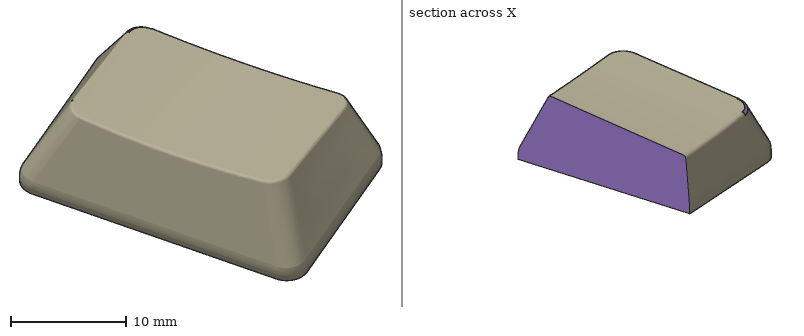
import cadquery as cq
import math

rim_length = 27.69
rim_width = 18.16
rim_height = 0.58
rim_corner_radius = 2.0

shoulder_height = 1.32
shoulder_corner_radius = 1.85

crown_length = 20.56
crown_front_y = -5.32
crown_back_y = 8.6
crown_middle_z = 7.3
crown_slope = math.radians(6.7)
crown_corner_radius = 1.75

dish_radius = 110.0
dish_drop = 0.93
dish_edge_radius = 0.32

half_length = rim_length / 2
half_width = rim_width / 2
shoulder_rise = shoulder_height - rim_height
wall_root_z = rim_height + shoulder_rise / 2

crown_width = crown_back_y - crown_front_y
crown_middle_y = (crown_front_y + crown_back_y) / 2
crown_front_z = crown_middle_z + crown_width / 2 * math.tan(crown_slope)
crown_back_z = crown_middle_z - crown_width / 2 * math.tan(crown_slope)

side_lean = (half_length - crown_length / 2) / (crown_middle_z - wall_root_z)
front_lean = (half_width + crown_front_y) / (crown_front_z - wall_root_z)
back_lean = (half_width - crown_back_y) / (crown_back_z - wall_root_z)


def sloping_plane(drop):
    """Plane parallel to the crown, lowered by drop at its middle."""
    normal = (0, math.sin(crown_slope), math.cos(crown_slope))
    return cq.Plane(origin=(0, crown_middle_y, crown_middle_z - drop), xDir=(1, 0, 0), normal=normal)


def rounded_outline(plane, size_x, size_y, radius):
    """Wire of a rounded rectangle centred on the origin of the plane."""
    half_x = size_x / 2
    half_y = size_y / 2
    straight_x = half_x - radius
    straight_y = half_y - radius
    arc_inset = radius * (1 - math.sqrt(0.5))
    arc_x = half_x - arc_inset
    arc_y = half_y - arc_inset
    return (
        cq.Workplane(plane)
        .moveTo(-straight_x, -half_y)
        .lineTo(straight_x, -half_y)
        .threePointArc((arc_x, -arc_y), (half_x, -straight_y))
        .lineTo(half_x, straight_y)
        .threePointArc((arc_x, arc_y), (straight_x, half_y))
        .lineTo(-straight_x, half_y)
        .threePointArc((-arc_x, arc_y), (-half_x, straight_y))
        .lineTo(-half_x, -straight_y)
        .threePointArc((-arc_x, -arc_y), (-straight_x, -half_y))
        .close()
        .val()
    )


def shoulder_outline(fraction):
    """Outline at a fraction of the shoulder's rise; its inset grows as a parabola tangent to rim and wall."""
    reach = shoulder_rise / 2 * fraction**2
    front_y = -half_width + reach * front_lean
    back_y = half_width - reach * back_lean
    height = rim_height + shoulder_rise * fraction
    radius = rim_corner_radius + (shoulder_corner_radius - rim_corner_radius) * fraction**2
    plane = cq.Plane(origin=(0, (front_y + back_y) / 2, height))
    return rounded_outline(plane, rim_length - 2 * reach * side_lean, back_y - front_y, radius)


def make_body():
    """Rim, shoulder and leaning walls, stacked into one solid."""
    rim_outline = rounded_outline(cq.Plane.XY(), rim_length, rim_width, rim_corner_radius)
    crown_outline = rounded_outline(
        sloping_plane(0), crown_length, crown_width / math.cos(crown_slope), crown_corner_radius
    )
    rim = cq.Solid.extrudeLinear(rim_outline, [], cq.Vector(0, 0, rim_height))
    shoulder = cq.Solid.makeLoft([shoulder_outline(0), shoulder_outline(0.5), shoulder_outline(1)])
    walls = cq.Solid.makeLoft([shoulder_outline(1), crown_outline], ruled=True)
    return cq.Workplane(rim).union(cq.Workplane(shoulder)).union(cq.Workplane(walls))


def cut_dish(body):
    """Scoop the head of the body with a cylinder that runs front to back down the slope."""
    floor = sloping_plane(dish_drop)
    start = floor.toWorldCoords((0, -rim_width, dish_radius))
    axis_plane = cq.Plane(origin=start, xDir=(1, 0, 0), normal=floor.yDir)
    dish = cq.Workplane(axis_plane).circle(dish_radius).extrude(2 * rim_width)
    return body.cut(dish)


def round_dish_edge(body):
    """Round the edge where the dish meets the walls."""
    dish_face = body.faces(cq.selectors.NearestToPointSelector((0, crown_middle_y, crown_middle_z)))
    return dish_face.edges().fillet(dish_edge_radius)


result = round_dish_edge(cut_dish(make_body()))